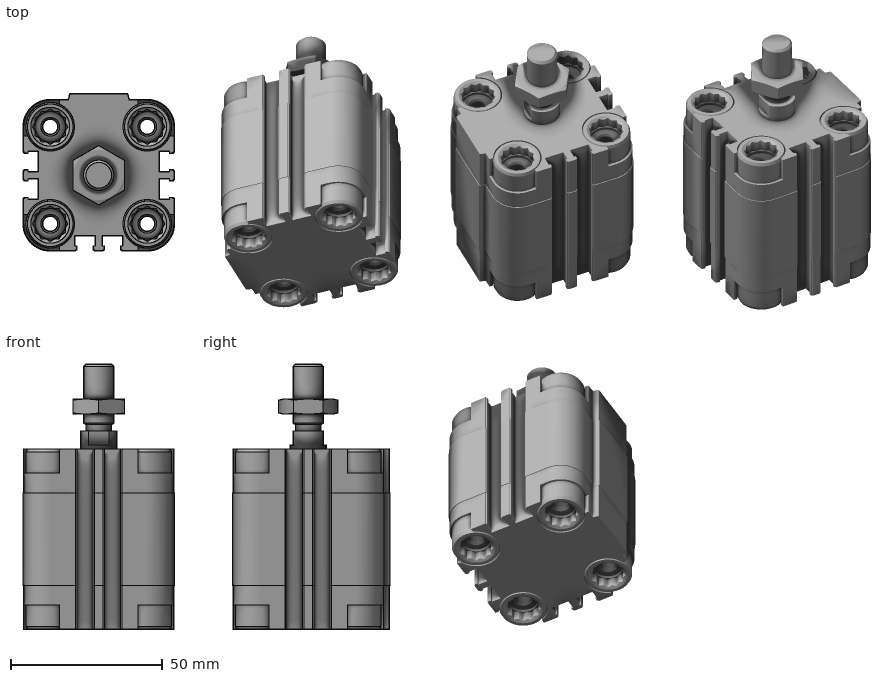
import cadquery as cq
import math

housing_height = 59.5
cap_height = 14.5
barrel_half_width = 25.0
cap_inset = 0.25
cap_half_width = barrel_half_width - cap_inset
barrel_height = housing_height - 2 * cap_height
cap_bottoms = (0, housing_height - cap_height)
corner_centre = 16.0

pad_height = 2.0
pad_top_half_width = 9.6
pad_base_half_width = 10.0
pad_edge_radius = 0.4

slot_offset = 4.55
slot_mouth_width = 5.4
slot_inner_width = 6.7
slot_floor = 20.0
slot_lip_inside = 23.3
slot_edge_radius = 0.4

boss_radius = 8.0
boss_height = 8.0
boss_chamfer_height = 1.0
boss_chamfer_width = 0.5
relief_start = 13.0
socket_rim_radius = 6.4
socket_rim_depth = 0.7
star_points = 12
star_tip_radius = 5.8
star_root_radius = 5.2
star_depth = 4.0
socket_floor_radius = 5.05
socket_floor_depth = 5.0
hole_mouth_radius = 3.1
hole_radius = 2.46
hole_chamfer = hole_mouth_radius - hole_radius

rod_radius = 6.0
rod_shoulder_z = housing_height + 6.0
rod_guide_depth = cap_height
flat_distance = 10.0
flat_bottom_z = housing_height + 1.3
neck_radius = 8.47 / 2
neck_top_z = rod_shoulder_z + 2.0
thread_radius = 5.0
thread_run_out = 0.5
thread_top_z = 87.5
thread_chamfer = thread_radius - neck_radius

nut_width = 17.0
nut_height = 5.0
nut_bottom_z = 71.0
nut_face_radius = 8.3
nut_chamfer_angle = 15.0
nut_sides = 6
nut_half_sector = 180.0 / nut_sides


def block_section(half_width, bottom_z, height):
    """One stretch of the housing: rounded square with the round-edged pad on its +Y side."""
    block = (
        cq.Workplane("XY")
        .workplane(offset=bottom_z)
        .rect(2 * half_width, 2 * half_width)
        .extrude(height)
        .edges("|Z")
        .fillet(half_width - corner_centre)
    )
    pad = (
        cq.Workplane("XY")
        .workplane(offset=bottom_z)
        .moveTo(-pad_base_half_width, 0)
        .lineTo(-pad_base_half_width, half_width)
        .lineTo(-pad_top_half_width, half_width + pad_height)
        .lineTo(pad_top_half_width, half_width + pad_height)
        .lineTo(pad_base_half_width, half_width)
        .lineTo(pad_base_half_width, 0)
        .close()
        .extrude(height)
    )
    section = block.union(pad)
    middle_z = bottom_z + height / 2
    for side in (-1, 1):
        pad_top = (side * pad_top_half_width, half_width + pad_height, middle_z)
        pad_base = (side * pad_base_half_width, half_width, middle_z)
        for edge_point in (pad_top, pad_base):
            corner = cq.selectors.NearestToPointSelector(edge_point)
            section = section.edges(corner).fillet(pad_edge_radius)
    return section


def slot_section(face, bottom_z, height):
    """One stretch of a T-slot opening toward -Y through a face at y = -face, with rounded mouth edges."""
    mouth = slot_mouth_width / 2
    inner = slot_inner_width / 2
    round_start = -(face - slot_edge_radius)
    return (
        cq.Workplane("XY")
        .workplane(offset=bottom_z)
        .moveTo(-inner, -slot_floor)
        .lineTo(inner, -slot_floor)
        .lineTo(inner, -slot_lip_inside)
        .lineTo(mouth, -slot_lip_inside)
        .lineTo(mouth, round_start)
        .radiusArc((mouth + slot_edge_radius, -face), slot_edge_radius)
        .lineTo(-(mouth + slot_edge_radius), -face)
        .radiusArc((-mouth, round_start), slot_edge_radius)
        .lineTo(-mouth, -slot_lip_inside)
        .lineTo(-inner, -slot_lip_inside)
        .close()
        .extrude(height)
    )


def slot_cutter():
    """Full-height T-slot cutter opening toward -Y, centred on x = 0."""
    slot = slot_section(barrel_half_width, cap_height, barrel_height)
    for bottom_z in cap_bottoms:
        slot = slot.union(slot_section(cap_half_width, bottom_z, cap_height))
    return slot


def boss_relief():
    """Material removed around one top boss, centred on the origin, top face at z = 0."""
    reach = relief_start - corner_centre
    span = 2 * boss_radius
    corner = (
        cq.Workplane("XY")
        .rect(span, span, centered=False)
        .extrude(-boss_height)
        .translate((reach, reach, 0))
        .cut(cq.Workplane("XY").circle(boss_radius).extrude(-boss_height))
    )
    groove = (
        cq.Workplane("XZ")
        .moveTo(boss_radius, -boss_chamfer_height)
        .lineTo(boss_radius, 0)
        .lineTo(boss_radius - boss_chamfer_width, 0)
        .close()
        .revolve(360, (0, 0, 0), (0, 1, 0))
    )
    return corner.union(groove)


def socket_cutter():
    """Twelve-point socket in one boss, on the Z axis, top face at z = 0."""
    star_corners = []
    for i in range(2 * star_points):
        radius = star_tip_radius if i % 2 == 0 else star_root_radius
        angle = math.pi * i / star_points
        star_corners.append((radius * math.cos(angle), radius * math.sin(angle)))
    star = cq.Workplane("XY").polyline(star_corners).close().extrude(-star_depth)
    turned = (
        cq.Workplane("XZ")
        .moveTo(0, 0)
        .lineTo(socket_rim_radius, 0)
        .lineTo(star_root_radius, -socket_rim_depth)
        .lineTo(socket_floor_radius, -star_depth)
        .lineTo(socket_floor_radius, -socket_floor_depth)
        .lineTo(hole_mouth_radius, -socket_floor_depth)
        .lineTo(hole_radius, -socket_floor_depth - hole_chamfer)
        .lineTo(0, -socket_floor_depth - hole_chamfer)
        .close()
        .revolve(360, (0, 0, 0), (0, 1, 0))
    )
    return star.union(turned)


def build_housing():
    housing = block_section(barrel_half_width, cap_height, barrel_height)
    for bottom_z in cap_bottoms:
        housing = housing.union(block_section(cap_half_width, bottom_z, cap_height))
    slot = slot_cutter()
    for face_angle in (-90, 0, 90):
        for offset in (-slot_offset, slot_offset):
            cutter = slot.translate((offset, 0, 0))
            housing = housing.cut(cutter.rotate((0, 0, 0), (0, 0, 1), face_angle))
    top_cutter = boss_relief().union(socket_cutter())
    top_cutter = top_cutter.translate((corner_centre, corner_centre, housing_height))
    middle = (0, 0, housing_height / 2)
    bottom_cutter = top_cutter.mirror("XY", middle)
    hole = cq.Workplane("XY").center(corner_centre, corner_centre).circle(hole_radius).extrude(housing_height)
    for quarter in range(4):
        for cutter in (top_cutter, bottom_cutter, hole):
            housing = housing.cut(cutter.rotate((0, 0, 0), (0, 0, 1), 90 * quarter))
    rod_bore = (
        cq.Workplane("XY").workplane(offset=housing_height).circle(rod_radius).extrude(-rod_guide_depth)
    )
    return housing.cut(rod_bore)


def build_rod():
    rod = (
        cq.Workplane("XZ")
        .moveTo(0, housing_height - rod_guide_depth)
        .lineTo(rod_radius, housing_height - rod_guide_depth)
        .lineTo(rod_radius, rod_shoulder_z)
        .lineTo(neck_radius, rod_shoulder_z)
        .lineTo(neck_radius, neck_top_z)
        .lineTo(thread_radius, neck_top_z + thread_run_out)
        .lineTo(thread_radius, thread_top_z - thread_chamfer)
        .lineTo(thread_radius - thread_chamfer, thread_top_z)
        .lineTo(0, thread_top_z)
        .close()
        .revolve(360, (0, 0, 0), (0, 1, 0))
    )
    flat_height = rod_shoulder_z - flat_bottom_z
    for side in (-1, 1):
        flat = (
            cq.Workplane("XY")
            .box(2 * rod_radius, rod_radius, flat_height, centered=(True, True, False))
            .translate((0, side * (flat_distance + rod_radius) / 2, flat_bottom_z))
        )
        rod = rod.cut(flat)
    return rod


def build_nut():
    tip_radius = nut_width / 2 / math.cos(math.radians(nut_half_sector))
    hexagon = (
        cq.Workplane("XY")
        .polygon(nut_sides, 2 * tip_radius)
        .extrude(nut_height)
        .rotate((0, 0, 0), (0, 0, 1), nut_half_sector)
    )
    drop = (tip_radius - nut_face_radius) * math.tan(math.radians(nut_chamfer_angle))
    envelope = (
        cq.Workplane("XZ")
        .moveTo(0, 0)
        .lineTo(nut_face_radius, 0)
        .lineTo(tip_radius, drop)
        .lineTo(tip_radius, nut_height - drop)
        .lineTo(nut_face_radius, nut_height)
        .lineTo(0, nut_height)
        .close()
        .revolve(360, (0, 0, 0), (0, 1, 0))
    )
    bore = cq.Workplane("XY").circle(thread_radius).extrude(nut_height)
    return hexagon.intersect(envelope).cut(bore).translate((0, 0, nut_bottom_z))


housing = build_housing()
rod = build_rod()
nut = build_nut()

result = cq.Compound.makeCompound([housing.val(), rod.val(), nut.val()])